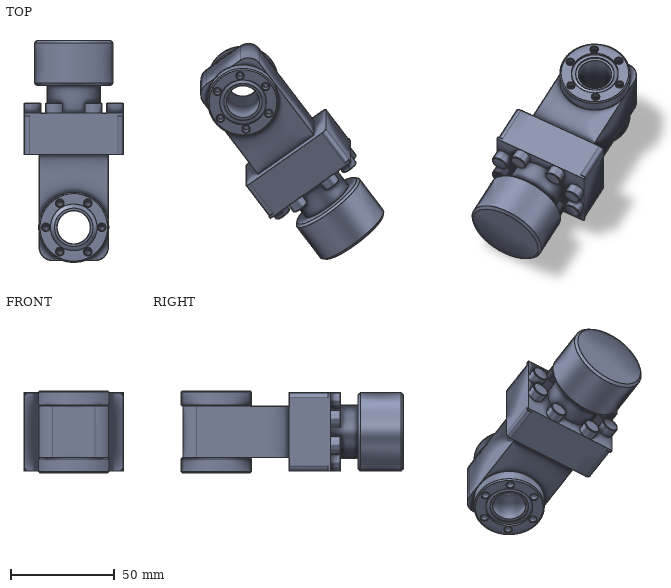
import cadquery as cq


body_width = 33.4
body_height = 24.8
body_end_y = -16.0
body_corner_radius = 6.5

total_height = 39.5
flange_diameter = 33.8
flange_thickness = (total_height - body_height) / 2
flange_chamfer = 0.6
bore_diameter = 15.9

recess_diameter = 22.5
knife_diameter = 18.5
knife_depth = 0.5
recess_depth = 1.3
bore_face_depth = 1.3

bolt_hole_count = 6
bolt_hole_diameter = 3.4
bolt_hole_chamfer = 0.3
bolt_circle_diameter = 27.0
bolt_hole_depth = 4.8
drill_point_depth = 1.0

bonnet_width = 47.7
bonnet_height = 37.9
bonnet_start_y = 35.1
bonnet_end_y = 55.0
bonnet_edge_radius = 2.5
bonnet_lip_length = 1.3

screw_diameter = 8.0
screw_height = 4.9
screw_chamfer = 0.3
side_screw_z = 6.3
top_screw_x = 9.5

overall_length = 107.0
stem_diameter = 25.7
knob_diameter = 38.0
knob_start_y = 68.3
knob_end_y = overall_length - flange_diameter / 2
knob_chamfer = 1.2


def block(width, height, start_y, end_y):
    """Box centred on the Y axis between two Y positions."""
    length = end_y - start_y
    return cq.Workplane("XY").box(width, length, height).translate((0, start_y + length / 2, 0))


def rod(diameter, start_y, end_y, x=0, z=0):
    """Cylinder parallel to Y between two Y positions."""
    base = cq.Vector(x, start_y, z)
    return cq.Workplane(cq.Solid.makeCylinder(diameter / 2, end_y - start_y, base, cq.Vector(0, 1, 0)))


def make_body():
    body = block(body_width, body_height, body_end_y, bonnet_start_y)
    return body.edges("|Z and <Y").fillet(body_corner_radius)


def make_bonnet():
    """Block with rounded long edges that stop short of a square lip."""
    lip_start_y = bonnet_end_y - bonnet_lip_length
    main = block(bonnet_width, bonnet_height, bonnet_start_y, lip_start_y)
    main = main.edges("|Y").fillet(bonnet_edge_radius)
    lip = block(bonnet_width, bonnet_height, lip_start_y, bonnet_end_y)
    return main.union(lip)


def make_screws():
    """Two heads beside each of the four bonnet sides, flush with that side."""
    side_screw_x = (bonnet_width - screw_diameter) / 2
    top_screw_z = (bonnet_height - screw_diameter) / 2
    screw_end_y = bonnet_end_y + screw_height
    screws = cq.Workplane("XY")
    for x, z in ((side_screw_x, side_screw_z), (top_screw_x, top_screw_z)):
        for x_sign in (-1, 1):
            for z_sign in (-1, 1):
                head = rod(screw_diameter, bonnet_end_y, screw_end_y, x_sign * x, z_sign * z)
                screws = screws.add(head.faces(">Y").chamfer(screw_chamfer))
    return screws.combine()


def make_flange():
    """Upper flange with its sealing recess and bolt holes."""
    face_z = total_height / 2
    flange = (
        cq.Workplane("XY")
        .workplane(offset=body_height / 2)
        .circle(flange_diameter / 2)
        .extrude(flange_thickness)
        .edges()
        .chamfer(flange_chamfer)
    )
    recess = (
        cq.Workplane("XZ")
        .moveTo(0, face_z)
        .lineTo(recess_diameter / 2, face_z)
        .lineTo(recess_diameter / 2, face_z - recess_depth)
        .lineTo(knife_diameter / 2, face_z - knife_depth)
        .lineTo(knife_diameter / 2, face_z - bore_face_depth)
        .lineTo(0, face_z - bore_face_depth)
        .close()
        .revolve(360, (0, 0, 0), (0, 1, 0))
    )
    hole_floor_z = face_z - bolt_hole_depth
    bolt_hole = (
        cq.Workplane("XZ")
        .moveTo(0, face_z)
        .lineTo(bolt_hole_diameter / 2 + bolt_hole_chamfer, face_z)
        .lineTo(bolt_hole_diameter / 2, face_z - bolt_hole_chamfer)
        .lineTo(bolt_hole_diameter / 2, hole_floor_z)
        .lineTo(0, hole_floor_z - drill_point_depth)
        .close()
        .revolve(360, (0, 0, 0), (0, 1, 0))
        .translate((bolt_circle_diameter / 2, 0, 0))
    )
    flange = flange.cut(recess)
    for index in range(bolt_hole_count):
        flange = flange.cut(bolt_hole.rotate((0, 0, 0), (0, 0, 1), index * 360 / bolt_hole_count))
    return flange


upper_flange = make_flange()
lower_flange = upper_flange.mirror("XY")
stem = rod(stem_diameter, bonnet_end_y, knob_start_y)
knob = rod(knob_diameter, knob_start_y, knob_end_y).edges("%CIRCLE").chamfer(knob_chamfer)
bore = cq.Workplane("XY").circle(bore_diameter / 2).extrude(total_height, both=True)

result = (
    make_body()
    .union(upper_flange)
    .union(lower_flange)
    .union(make_bonnet())
    .union(stem)
    .union(make_screws())
    .union(knob)
    .cut(bore)
)